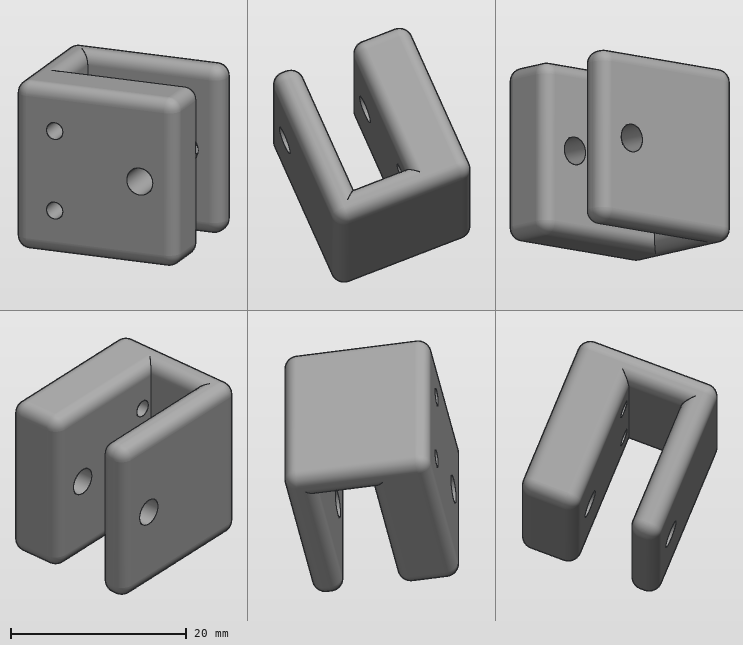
import cadquery as cq

length = 20.0
height = 20.0
front_wall = 7.0
slot_width = 6.4
back_wall = 3.5
web = 3.5
depth = front_wall + slot_width + back_wall
edge_radius = 1.5

clamp_diameter = 3.2
clamp_x = 15.5
pin_diameter = 2.0
pin_x = 5.0
pin_spacing = 9.5


def make_clip():
    """U-shaped body with every edge rounded except the two inner slot corners."""
    slot_back = front_wall + slot_width
    profile = [
        (0, 0),
        (length, 0),
        (length, front_wall),
        (web, front_wall),
        (web, slot_back),
        (length, slot_back),
        (length, depth),
        (0, depth),
    ]
    body = cq.Workplane("XY").polyline(profile).close().extrude(height)
    margin = web / 2
    inner_corners = body.edges("|Z").edges(
        cq.selectors.BoxSelector((web - margin, margin, 0), (web + margin, depth - margin, height))
    )
    rounded_edges = [
        edge for edge in body.edges().vals()
        if not any(edge.isSame(corner) for corner in inner_corners.vals())
    ]
    return body.newObject(rounded_edges).fillet(edge_radius)


def hole_along_y(diameter, x, z, hole_depth):
    """Cylinder that enters the front face and runs towards +Y."""
    return cq.Workplane("XZ").center(x, z).circle(diameter / 2).extrude(-hole_depth)


result = make_clip()

result = result.cut(hole_along_y(clamp_diameter, clamp_x, height / 2, depth))

for side in (-1, 1):
    pin_z = height / 2 + side * pin_spacing / 2
    result = result.cut(hole_along_y(pin_diameter, pin_x, pin_z, front_wall))